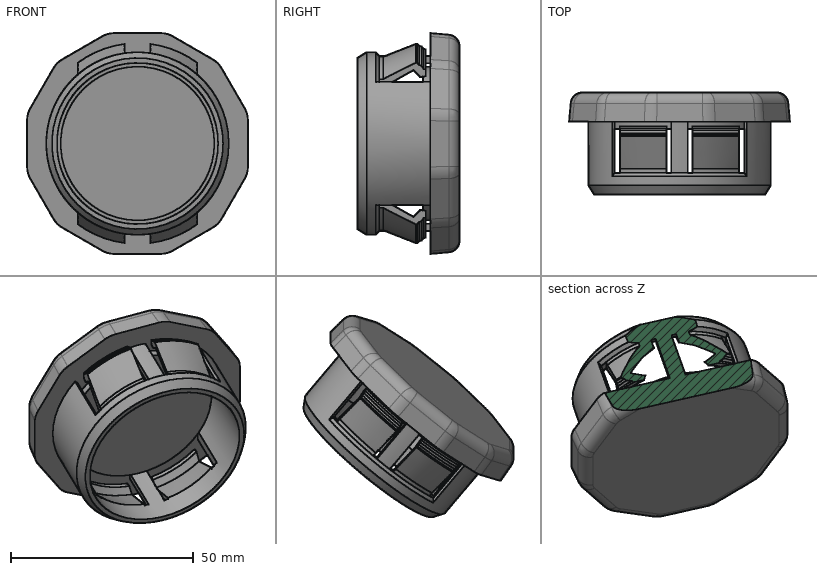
import cadquery as cq
import math

CAP_WIDTH = 60.5
CAP_SIDES = 12
CAP_HEIGHT = 8.05
CAP_DRAFT = 5.0
CAP_CORNER_RADIUS = 6.65
CAP_CROWN_RADIUS = 3.3

BARREL_LENGTH = 19.95
BARREL_RADIUS = 50.0 / 2
MOUTH_RADIUS = 46.85 / 2
CHAMFER_LENGTH = 2.55
BORE_RADIUS = 44.1 / 2
BORE_OVERLAP = 0.6
ROUGH_BORE_RADIUS = BORE_RADIUS - BORE_OVERLAP

PLUG_RADIUS = 42.05 / 2
PLUG_HEIGHT = 2.0

RECESS_RADIUS = 24.0
RECESS_LENGTH = 14.0
RECESS_HALF_WIDTH = 17.7
POST_HALF_WIDTH = 2.3

FINGER_INNER_X = 3.5
FINGER_OUTER_X = 16.35
HINGE_DEPTH = 12.9
HINGE_INNER_DEPTH = 13.6
ROOT_DEPTH = 14.9
RIDGE_RADIUS = 27.5
RIDGE_DEPTH = 4.0
ELBOW_RADIUS = 25.85
ELBOW_DEPTH = 4.6
TIP_DEPTH = 1.2
TIP_OUTER_RADIUS = 26.0
TIP_INNER_RADIUS = 24.6
HEEL_RADIUS = 24.4
HEEL_DEPTH = 2.7
SERRATIONS = [(RIDGE_RADIUS, 3.65), (27.0, 3.1), (26.8, 2.35), (26.15, 1.8)]

TALL = CAP_WIDTH


def ring(profile):
    """Revolve (radius, depth) points about Y; depth is measured from the cap towards -Y."""
    points = [(radius, -depth) for radius, depth in profile]
    return cq.Workplane("XY").polyline(points).close().revolve(360, (0, 0), (0, 1))


def upper_block(x_start, x_end):
    """Block on the +Z side between two X positions, as long as the barrel."""
    return cq.Workplane("XY").box(
        x_end - x_start, BARREL_LENGTH, TALL, centered=False
    ).translate((x_start, -BARREL_LENGTH, 0))


def make_cap():
    cap = (
        cq.Workplane("ZX")
        .polygon(CAP_SIDES, CAP_WIDTH, circumscribed=True)
        .extrude(CAP_HEIGHT, taper=CAP_DRAFT)
    )
    cap = cap.edges("not(#Y)").fillet(CAP_CORNER_RADIUS)
    return cap.faces(">Y").edges().fillet(CAP_CROWN_RADIUS)


def make_barrel_blank():
    """Barrel before it is bored out."""
    return ring([
        (0, 0),
        (BARREL_RADIUS, 0),
        (BARREL_RADIUS, BARREL_LENGTH - CHAMFER_LENGTH),
        (MOUTH_RADIUS, BARREL_LENGTH),
        (0, BARREL_LENGTH),
    ])


def make_bore():
    return cq.Workplane("XZ").circle(BORE_RADIUS).extrude(BARREL_LENGTH)


def make_plug():
    return cq.Workplane("XZ").circle(PLUG_RADIUS).extrude(PLUG_HEIGHT)


def make_recess():
    """Shallow band outside the recess radius; its end and sides slope outwards at 45 degrees."""
    slope = 2 * (BARREL_RADIUS - RECESS_RADIUS)
    band = ring([
        (RECESS_RADIUS, 0),
        (RECESS_RADIUS, RECESS_LENGTH),
        (RECESS_RADIUS + slope, RECESS_LENGTH + slope),
        (RECESS_RADIUS + slope, 0),
    ])
    side_z = math.sqrt(RECESS_RADIUS**2 - RECESS_HALF_WIDTH**2)
    flare = TALL / 2
    opening = (
        cq.Workplane("XZ")
        .moveTo(-RECESS_HALF_WIDTH, 0)
        .lineTo(RECESS_HALF_WIDTH, 0)
        .lineTo(RECESS_HALF_WIDTH, side_z)
        .lineTo(RECESS_HALF_WIDTH + flare, side_z + flare)
        .lineTo(-RECESS_HALF_WIDTH - flare, side_z + flare)
        .lineTo(-RECESS_HALF_WIDTH, side_z)
        .close()
        .extrude(BARREL_LENGTH)
    )
    return band.intersect(opening)


def make_window():
    """Opening through the wall between the centre post and the +X side of the recess."""
    wall = ring([
        (ROUGH_BORE_RADIUS, 0),
        (BARREL_RADIUS, 0),
        (BARREL_RADIUS, RECESS_LENGTH),
        (ROUGH_BORE_RADIUS, RECESS_LENGTH),
    ])
    return wall.intersect(upper_block(POST_HALF_WIDTH, RECESS_HALF_WIDTH))


def make_finger():
    """Finger leaning outwards from its hinge to a ridge, with a serrated hooked tip."""
    hinge = [
        (BORE_RADIUS, HINGE_INNER_DEPTH),
        (ROUGH_BORE_RADIUS, HINGE_INNER_DEPTH),
        (ROUGH_BORE_RADIUS, ROOT_DEPTH),
        (RECESS_RADIUS, ROOT_DEPTH),
        (RECESS_RADIUS, HINGE_DEPTH),
    ]
    hook = [
        (TIP_OUTER_RADIUS, TIP_DEPTH),
        (TIP_INNER_RADIUS, TIP_DEPTH),
        (HEEL_RADIUS, HEEL_DEPTH),
        (ELBOW_RADIUS, ELBOW_DEPTH),
    ]
    ridge = [(RIDGE_RADIUS, RIDGE_DEPTH)]
    full_ring = ring(hinge + ridge + SERRATIONS + hook)
    return full_ring.intersect(upper_block(FINGER_INNER_X, FINGER_OUTER_X))


def on_both_sides(shape):
    """The shape together with its mirror image across Z = 0."""
    return shape.union(shape.mirror("XY"))


def on_four_corners(shape):
    """The shape repeated across X = 0 and Z = 0."""
    return on_both_sides(shape.union(shape.mirror("YZ")))


barrel = make_barrel_blank()
barrel = barrel.cut(on_both_sides(make_recess()))
barrel = barrel.cut(on_four_corners(make_window()))
barrel = barrel.union(on_four_corners(make_finger()))
barrel = barrel.cut(make_bore())
result = make_cap().union(barrel).union(make_plug())